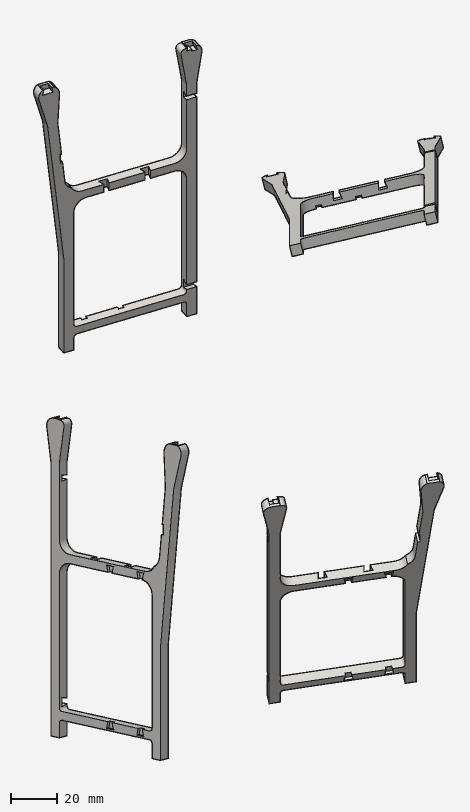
import cadquery as cq
import math


height = 142.2
thickness = 5.0
leg_width = 5.0
leg_spread = 65.0
outer_y = leg_spread / 2
inner_y = outer_y - leg_width

low_bar_bottom = 8.1
low_bar_top = 12.1
high_bar_bottom = 78.8
high_bar_top = 82.9
low_bar_radius = 1.5
high_bar_radius = 6.0

lean = math.radians(6.2)
arm_start_z = 50.0
arm_width_y = leg_width / math.cos(lean)

head_start_z = 122.3
flare = math.radians(9.2)
head_outer_radius = 4.0
rear_head_inner_radius = 2.1
front_head_inner_radius = 5.0
rear_head_drop = 0.3
front_head_rise = 0.5

gusset_corner_y = -26.7
gusset_kink = (-28.6, 85.9)
gusset_slope = math.radians(35)
gusset_bar_radius = 6.0

relief_bottom = 101.0
relief_top = 105.5
relief_y = -34.1

slot_mouth = 2.5
slot_base = 4.0
slot_depth = 3.1
face_slot_depth = 1.4
face_slot_ys = (-2.5, -20.5)
bar_slot_ys = (8.5, -11.7)
leg_slot_z = 15.6
small_slot_z = 115.6
small_slot_mouth = 1.8
small_slot_base = 2.5

head_slot_mouth = 4.0
head_slot_base = 5.1
head_slot_depth = 2.5
head_slot_reach = 3.5
head_slot_step = 0.9
front_slot_y = -40.3


def arm_outer_y(z):
    return -outer_y - (z - arm_start_z) * math.tan(lean)


def arm_inner_y(z):
    return arm_outer_y(z) + arm_width_y


def toward(start, end, distance):
    """Point at a distance from start along the line to end."""
    length = math.dist(start, end)
    return tuple(a + (b - a) * distance / length for a, b in zip(start, end))


def plate(corners):
    """Extrude a closed (y, z, radius) outline through the frame thickness."""
    stretches = []
    for i, (y, z, radius) in enumerate(corners):
        corner = (y, z)
        if radius == 0:
            stretches.append((corner,))
            continue
        before = corners[i - 1][:2]
        after = corners[(i + 1) % len(corners)][:2]
        to_before = toward(corner, before, 1.4)
        to_after = toward(corner, after, 1.4)
        half_angle = math.asin(math.dist(to_before, to_after) / 2.8)
        tangent = radius / math.tan(half_angle)
        middle = tuple((a + b) / 2 for a, b in zip(to_before, to_after))
        crown = toward(corner, middle, radius / math.sin(half_angle) - radius)
        stretches.append((toward(corner, before, tangent), crown, toward(corner, after, tangent)))

    outline = cq.Workplane("YZ").moveTo(*stretches[0][-1])
    for stretch in stretches[1:] + stretches[:1]:
        outline = outline.lineTo(*stretch[0])
        if len(stretch) == 3:
            outline = outline.threePointArc(*stretch[1:])
    return outline.close().extrude(thickness)


def frame():
    head_height = height - head_start_z
    rear_top = height - rear_head_drop
    front_top = height + front_head_rise
    rear_flare = head_height * math.tan(flare)
    rear_inner_flare = (rear_top - head_start_z) * math.tan(flare)
    front_height = front_top - head_start_z
    front_outer_y = arm_outer_y(head_start_z) - front_height * math.tan(lean + flare)
    front_inner_y = arm_inner_y(head_start_z) - front_height * math.tan(lean - flare)

    kink_y, kink_z = gusset_kink
    gap = kink_y - arm_inner_y(kink_z)
    rise = gap / (1 / math.tan(gusset_slope) - math.tan(lean))
    gusset_top = kink_z + rise

    outline = [
        (outer_y, 0, 0),
        (outer_y, head_start_z, 0),
        (outer_y + rear_flare, height, head_outer_radius),
        (inner_y, height, 0),
        (inner_y, rear_top, 0),
        (inner_y - rear_inner_flare, rear_top, rear_head_inner_radius),
        (inner_y, head_start_z, 0),
        (inner_y, high_bar_top, high_bar_radius),
        (gusset_corner_y, high_bar_top, gusset_bar_radius),
        (kink_y, kink_z, 0),
        (arm_inner_y(gusset_top), gusset_top, high_bar_radius),
        (arm_inner_y(relief_bottom), relief_bottom, 0),
        (relief_y, relief_bottom, 0),
        (relief_y, relief_top, 0),
        (arm_inner_y(relief_top), relief_top, 0),
        (arm_inner_y(head_start_z), head_start_z, 0),
        (front_inner_y, front_top, front_head_inner_radius),
        (front_outer_y, front_top, head_outer_radius),
        (arm_outer_y(head_start_z), head_start_z, 0),
        (-outer_y, arm_start_z, 0),
        (-outer_y, 0, 0),
        (-inner_y, 0, 0),
        (-inner_y, low_bar_bottom, low_bar_radius),
        (inner_y, low_bar_bottom, low_bar_radius),
        (inner_y, 0, 0),
    ]
    window = [
        (inner_y, low_bar_top, low_bar_radius),
        (inner_y, high_bar_bottom, high_bar_radius),
        (-inner_y, high_bar_bottom, high_bar_radius),
        (-inner_y, low_bar_top, low_bar_radius),
    ]
    trim = cq.Workplane("XY").box(thickness, 2 * leg_spread, front_head_rise, (False, True, False))
    return plate(outline).cut(plate(window)).cut(trim.translate((0, 0, height)))


def dovetail(directions, origin, mouth, base, depth, length):
    """Prism run from its origin along the normal, widening from its mouth along inward.

    The directions are (normal, inward), and the origin is the middle of the mouth edge.
    """
    profile = [(-mouth / 2, 0), (mouth / 2, 0), (base / 2, depth), (-base / 2, depth)]
    normal, inward = directions
    across = cq.Vector(*inward).cross(cq.Vector(*normal))
    local = cq.Plane(origin=origin, xDir=across, normal=normal)
    return cq.Workplane(local).polyline(profile).close().extrude(length)


X_AXIS = (1, 0, 0)
Y_AXIS = (0, 1, 0)
Z_AXIS = (0, 0, 1)
BACK = (-1, 0, 0)
DOWN = (0, 0, -1)

result = frame()

for y in face_slot_ys:
    for z, inward in ((high_bar_bottom, Z_AXIS), (low_bar_top, DOWN)):
        slot = dovetail((X_AXIS, inward), (0, y, z), slot_mouth, slot_base, slot_depth, face_slot_depth)
        result = result.cut(slot)

bar_height = high_bar_top - high_bar_bottom
for y in bar_slot_ys:
    origin = (thickness, y, high_bar_bottom)
    result = result.cut(dovetail((Z_AXIS, BACK), origin, slot_mouth, slot_base, slot_depth, bar_height))

leg_slots = [
    (leg_slot_z, slot_mouth, slot_base),
    (small_slot_z, small_slot_mouth, small_slot_base),
]
for z, mouth, base in leg_slots:
    origin = (thickness, inner_y, z)
    result = result.cut(dovetail((Y_AXIS, BACK), origin, mouth, base, slot_depth, leg_width))

rear_slot_y = (outer_y + inner_y) / 2
slot_start_x = thickness - head_slot_reach
for y in (rear_slot_y, front_slot_y):
    origin = (slot_start_x, y, height)
    slot = dovetail((X_AXIS, DOWN), origin, head_slot_mouth, head_slot_base, head_slot_depth, head_slot_reach)
    if y == rear_slot_y:
        step = cq.Workplane("XY").box(head_slot_reach, head_slot_base, head_slot_step, (False, False, False))
        step = step.translate((slot_start_x, y - head_slot_base, height - head_slot_depth))
        slot = slot.cut(step)
    result = result.cut(slot)